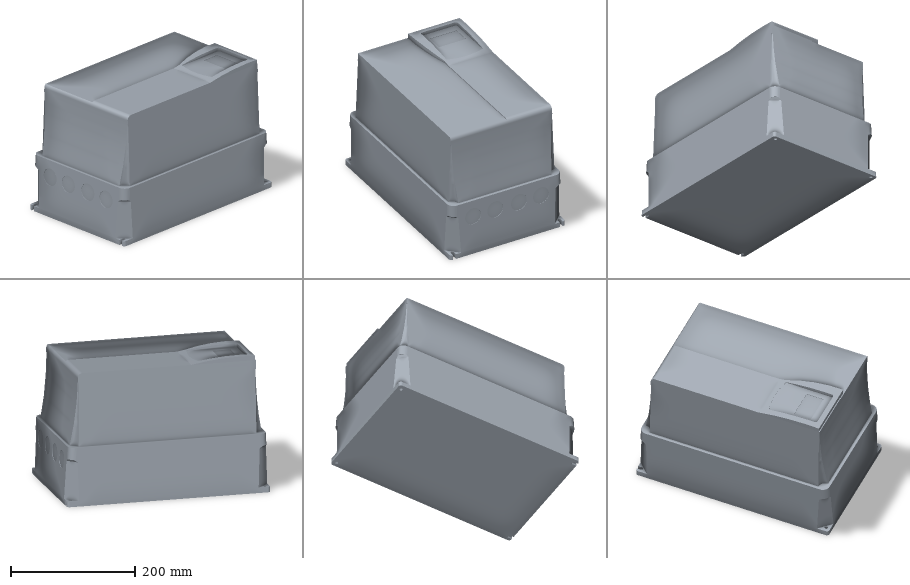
import cadquery as cq
import math

BASE_WIDTH = 215.0
BASE_LENGTH = 340.0
FLANGE_HEIGHT = 9.0
FLANGE_CORNER_RADIUS = 4.8
RIM_WIDTH = 208.0
RIM_LENGTH = 331.0
RIM_HEIGHT = 97.5
RIM_CORNER_RADIUS = 12.0

CHAMFER_SETBACK = 20.23
RELIEF_TOP = 73.5
LIP_BOTTOM = 77.5
LIP_OVERHANG = 3.7
RELIEF_REACH = 40.8

MOUNT_SPACING_X = 198.5
MOUNT_OFFSET_Y = 163.0
MOUNT_DIAMETER = 5.5

KNOCKOUT_CENTRES_X = (-63.2, -22.0, 22.0, 63.2)
KNOCKOUT_HEIGHT = 69.0
KNOCKOUT_RADIUS = 14.5
KNOCKOUT_DEPTH = 0.7

COVER_FOOT_WIDTH = 198.0
COVER_TOP_WIDTH = 188.5
COVER_FOOT_LENGTH = 321.0
COVER_TOP_LENGTH = 298.0
COVER_HEIGHT = 219.0
FLARE_TOP = 207.5
FLARE_MID_HEIGHT = 149.5
FLARE_MID_LENGTH = 304.3
FRONT_EDGE_RADIUS = 7.8
SCALLOP_FOOT_RADIUS = 12.0
SCALLOP_TOP_RADIUS = 1.0
SCALLOP_TOP = 204.0
SCALLOP_OVERRUN = 0.05

LOWER_TOP_HEIGHT = 217.3
STEP_X = 11.5

KEYPAD_LEFT = -1.7
KEYPAD_BACK = 147.5
KEYPAD_CURVE_END = 53.0
KEYPAD_FRONT = 40.8
KEYPAD_CURVE_MID = (1.7, 100.3)
CROWN_BACK_HEIGHT = 226.0
CROWN_Y = 122.5
CROWN_HEIGHT = 226.8

RECESS_LEFT = 16.0
RECESS_RIGHT = 83.5
RECESS_BACK = 139.0
RECESS_SIDE_FRONT = 54.7
RECESS_BOW_FRONT = 50.0
RECESS_FLOOR = 220.3
RECESS_CORNER_RADIUS = 3.7
DISPLAY_WIDTH = 50.0
DISPLAY_LENGTH = 29.5
DISPLAY_CENTRE = (50.5, 110.0)
DISPLAY_DEPTH = 0.7

SIGNS = (-1, 1)


def tapered_block(bottom_width, top_width, bottom_length, top_length, bottom, top):
    """Rectangular frustum between two heights."""
    return (
        cq.Workplane("XY", origin=(0, 0, bottom))
        .rect(bottom_width, bottom_length)
        .workplane(offset=top - bottom)
        .rect(top_width, top_length)
        .loft(ruled=True)
    )


def corner_relief(sign_x, sign_y):
    """Diagonal cutter with a sloped roof that forms the underside of the lip."""
    face = (BASE_WIDTH / 2 + BASE_LENGTH / 2 - CHAMFER_SETBACK) / math.sqrt(2)
    skew = (BASE_LENGTH - BASE_WIDTH) / 4
    plane = cq.Plane(
        origin=(-sign_x * skew, sign_y * skew, 0),
        xDir=(sign_x, sign_y, 0),
        normal=(sign_y, -sign_x, 0),
    )
    return (
        cq.Workplane(plane)
        .moveTo(face, FLANGE_HEIGHT)
        .lineTo(face, RELIEF_TOP)
        .lineTo(face + LIP_OVERHANG, LIP_BOTTOM)
        .lineTo(face + RELIEF_REACH, LIP_BOTTOM)
        .lineTo(face + RELIEF_REACH, FLANGE_HEIGHT)
        .close()
        .extrude(RELIEF_REACH, both=True)
    )


def make_base():
    flange_share = FLANGE_HEIGHT / RIM_HEIGHT
    flange_top_width = BASE_WIDTH + (RIM_WIDTH - BASE_WIDTH) * flange_share
    flange = tapered_block(BASE_WIDTH, flange_top_width, BASE_LENGTH, BASE_LENGTH, 0, FLANGE_HEIGHT)
    flange = flange.edges("not(#Z)").fillet(FLANGE_CORNER_RADIUS)
    walls = tapered_block(
        flange_top_width, RIM_WIDTH, BASE_LENGTH, RIM_LENGTH, FLANGE_HEIGHT, RIM_HEIGHT
    )
    walls = walls.edges("not(#Z)").fillet(RIM_CORNER_RADIUS)
    for sign_x in SIGNS:
        for sign_y in SIGNS:
            walls = walls.cut(corner_relief(sign_x, sign_y))
    return flange.union(walls)


def mounting_cutters():
    """Round holes at the back and slots open to the front edge."""
    slot_length = BASE_LENGTH / 2 - MOUNT_OFFSET_Y
    cutters = (
        cq.Workplane("XY")
        .rarray(MOUNT_SPACING_X, 2 * MOUNT_OFFSET_Y, 2, 2)
        .circle(MOUNT_DIAMETER / 2)
        .extrude(FLANGE_HEIGHT)
    )
    slots = (
        cq.Workplane("XY", origin=(0, -MOUNT_OFFSET_Y - slot_length / 2, 0))
        .rarray(MOUNT_SPACING_X, 3.5, 2, 1)
        .rect(MOUNT_DIAMETER, slot_length)
        .extrude(FLANGE_HEIGHT)
    )
    return cutters.union(slots)


def knockout_cutters():
    """Shallow discs sunk square to the sloping front wall."""
    slope = (BASE_LENGTH - RIM_LENGTH) / 2 / (RIM_HEIGHT - FLANGE_HEIGHT)
    wall_y = -BASE_LENGTH / 2 + slope * (KNOCKOUT_HEIGHT - FLANGE_HEIGHT)
    cutters = cq.Workplane("XY")
    for x in KNOCKOUT_CENTRES_X:
        wall = cq.Plane(origin=(x, wall_y, KNOCKOUT_HEIGHT), xDir=(1, 0, 0), normal=(0, -1, slope))
        cutters = cutters.add(
            cq.Workplane(wall).circle(KNOCKOUT_RADIUS).extrude(KNOCKOUT_DEPTH, both=True)
        )
    return cutters.combine()


def corner_scallop(sign_x, sign_y):
    """Cone whose axis follows the cover corner and whose radius fades upwards."""
    foot = cq.Vector(sign_x * COVER_FOOT_WIDTH / 2, sign_y * COVER_FOOT_LENGTH / 2, RIM_HEIGHT)
    top = cq.Vector(sign_x * COVER_TOP_WIDTH / 2, sign_y * COVER_TOP_LENGTH / 2, SCALLOP_TOP)
    axis = top - foot
    start = foot - axis * SCALLOP_OVERRUN
    flare = (SCALLOP_FOOT_RADIUS - SCALLOP_TOP_RADIUS) * SCALLOP_OVERRUN
    length = axis.Length * (1 + SCALLOP_OVERRUN)
    return cq.Solid.makeCone(SCALLOP_FOOT_RADIUS + flare, SCALLOP_TOP_RADIUS, length, start, axis)


def make_cover():
    half_foot = COVER_FOOT_LENGTH / 2
    half_mid = FLARE_MID_LENGTH / 2
    half_top = COVER_TOP_LENGTH / 2
    side_profile = (
        cq.Workplane("YZ")
        .moveTo(-half_foot, RIM_HEIGHT)
        .threePointArc((-half_mid, FLARE_MID_HEIGHT), (-half_top, FLARE_TOP))
        .lineTo(-half_top, COVER_HEIGHT)
        .lineTo(half_top, COVER_HEIGHT)
        .lineTo(half_top, FLARE_TOP)
        .threePointArc((half_mid, FLARE_MID_HEIGHT), (half_foot, RIM_HEIGHT))
        .close()
        .extrude(COVER_FOOT_WIDTH / 2, both=True)
    )
    side_limits = tapered_block(
        COVER_FOOT_WIDTH, COVER_TOP_WIDTH, BASE_LENGTH, BASE_LENGTH, RIM_HEIGHT, COVER_HEIGHT
    )
    cover = side_profile.intersect(side_limits)
    cover = cover.faces(">Z").edges("<Y").fillet(FRONT_EDGE_RADIUS)
    for sign_x in SIGNS:
        for sign_y in SIGNS:
            cover = cover.cut(cq.Workplane(corner_scallop(sign_x, sign_y)))
    lower_area = (
        cq.Workplane("XY", origin=(0, 0, LOWER_TOP_HEIGHT))
        .moveTo(STEP_X, -half_foot)
        .lineTo(-COVER_FOOT_WIDTH / 2, -half_foot)
        .lineTo(-COVER_FOOT_WIDTH / 2, half_foot)
        .lineTo(STEP_X, half_foot)
        .close()
        .extrude(COVER_HEIGHT - LOWER_TOP_HEIGHT)
    )
    return cover.cut(lower_area)


def make_keypad():
    """Housing with a curved left edge, under a crowned top."""
    right = COVER_TOP_WIDTH / 2
    plan = (
        cq.Workplane("XY", origin=(0, 0, LOWER_TOP_HEIGHT))
        .moveTo(KEYPAD_LEFT, KEYPAD_BACK)
        .threePointArc(KEYPAD_CURVE_MID, (STEP_X, KEYPAD_CURVE_END))
        .lineTo(STEP_X, KEYPAD_FRONT)
        .lineTo(right, KEYPAD_FRONT)
        .lineTo(right, KEYPAD_BACK)
        .close()
        .extrude(CROWN_HEIGHT - LOWER_TOP_HEIGHT)
    )
    crown = (
        cq.Workplane("YZ")
        .moveTo(KEYPAD_FRONT, LOWER_TOP_HEIGHT)
        .lineTo(KEYPAD_FRONT, COVER_HEIGHT)
        .threePointArc((CROWN_Y, CROWN_HEIGHT), (KEYPAD_BACK, CROWN_BACK_HEIGHT))
        .lineTo(KEYPAD_BACK, LOWER_TOP_HEIGHT)
        .close()
        .extrude(right, both=True)
    )
    return plan.intersect(crown)


def keypad_recess():
    bow_x = (RECESS_LEFT + RECESS_RIGHT) / 2
    recess = (
        cq.Workplane("XY", origin=(0, 0, RECESS_FLOOR))
        .moveTo(RECESS_LEFT, RECESS_BACK)
        .lineTo(RECESS_LEFT, RECESS_SIDE_FRONT)
        .threePointArc((bow_x, RECESS_BOW_FRONT), (RECESS_RIGHT, RECESS_SIDE_FRONT))
        .lineTo(RECESS_RIGHT, RECESS_BACK)
        .close()
        .extrude(CROWN_HEIGHT - RECESS_FLOOR)
    )
    recess = recess.edges("|Z and >Y").fillet(RECESS_CORNER_RADIUS)
    display = (
        cq.Workplane("XY", origin=(0, 0, RECESS_FLOOR - DISPLAY_DEPTH))
        .center(*DISPLAY_CENTRE)
        .rect(DISPLAY_WIDTH, DISPLAY_LENGTH)
        .extrude(DISPLAY_DEPTH)
    )
    return recess.union(display)


base = make_base().cut(mounting_cutters()).cut(knockout_cutters())
housing = make_cover().union(make_keypad()).cut(keypad_recess())
result = base.union(housing)